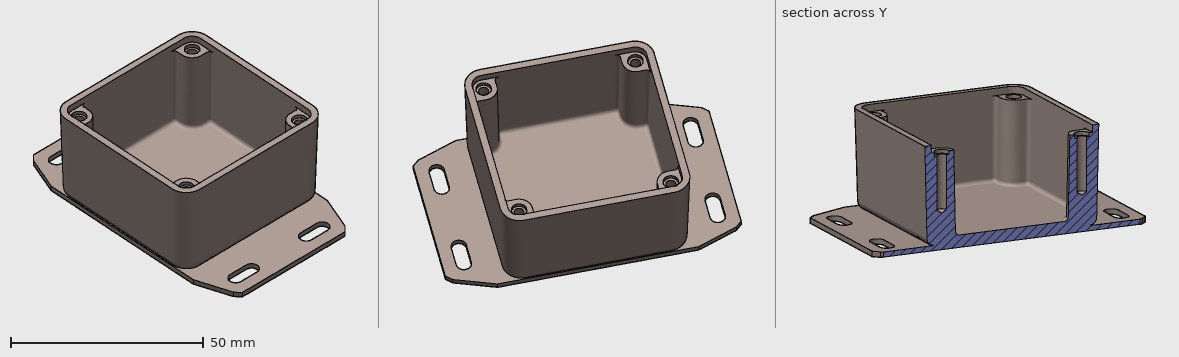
import cadquery as cq
import math

plate_length = 79
plate_width = 48.0
plate_thickness = 1.5
plate_shoulder_x = 26.85
plate_taper_end = (37.8, 20.0)
plate_end_half_width = 18.4
slot_width = 4.0
slot_length = 9.7
slot_x = 33.9
slot_y = 12.6

total_height = 28.5
box_size = 50.5
box_corner_radius = 5.1
outer_draft = 1.3
outer_base_fillet = 2.0
wall_thickness = 2.0
floor_thickness = 2.0
cavity_corner_radius = 3.0
inner_draft = 1.4
floor_fillet = 1.0

post_drop = 2.0
post_radius = 3.55
post_draft = 1.2
post_blend_radius = 1.0
screw_hole_diameter = 2.6
screw_hole_depth = 15.8
counterbore_diameter = 4.0
counterbore_depth = 1.0
drill_point_angle = 118

corner_signs = [(-1, -1), (-1, 1), (1, -1), (1, 1)]
box_height = total_height - plate_thickness
floor_z = plate_thickness + floor_thickness
cavity_size = box_size - 2 * wall_thickness
post_offset = cavity_size / 2 - cavity_corner_radius
post_top_z = total_height - post_drop


def drafted_block(size, corner_radius, height, draft):
    """Rounded square block hanging from the rim, narrowing downwards with a constant corner radius."""
    base_size = size - 2 * height * math.tan(math.radians(draft))
    rim_outline = cq.Sketch().rect(size, size).vertices().fillet(corner_radius)
    base_outline = cq.Sketch().rect(base_size, base_size).vertices().fillet(corner_radius)
    return (
        cq.Workplane("XY", origin=(0, 0, total_height))
        .placeSketch(rim_outline, base_outline.moved(cq.Location(cq.Vector(0, 0, -height))))
        .loft(ruled=True)
    )


def mounting_plate():
    taper_x, taper_y = plate_taper_end
    quarter = [
        (plate_shoulder_x, plate_width / 2),
        (taper_x, taper_y),
        (plate_length / 2, plate_end_half_width),
    ]
    right_half = quarter + [(x, -y) for x, y in reversed(quarter)]
    left_half = [(-x, -y) for x, y in right_half]
    slot_centers = [(sx * slot_x, sy * slot_y) for sx, sy in corner_signs]
    return (
        cq.Workplane("XY")
        .polyline(right_half + left_half)
        .close()
        .extrude(plate_thickness)
        .faces(">Z")
        .workplane(origin=(0, 0, plate_thickness))
        .pushPoints(slot_centers)
        .slot2D(slot_length, slot_width, 90)
        .cutThruAll()
    )


def corner_post(sign_x, sign_y):
    """Drafted post rounded about the screw axis, reaching well past the cavity walls."""
    outer_reach = cavity_corner_radius + 2 * post_radius
    side = post_radius + outer_reach
    center = post_offset + (outer_reach - post_radius) / 2
    return (
        cq.Workplane("XY", origin=(sign_x * center, sign_y * center, post_top_z))
        .sketch()
        .rect(side, side)
        .vertices()
        .fillet(post_radius)
        .finalize()
        .extrude(floor_z - post_top_z, taper=-post_draft)
    )


def cavity():
    """Inner space of the box, with the posts left standing and blended into walls and floor."""
    space = drafted_block(cavity_size, cavity_corner_radius, total_height - floor_z, inner_draft)
    for sign_x, sign_y in corner_signs:
        space = space.cut(corner_post(sign_x, sign_y))

    half_post = (post_top_z - floor_z) / 2
    wall_mid = cavity_size / 2 - (post_drop + half_post) * math.tan(math.radians(inner_draft))
    side_mid = post_offset - post_radius - half_post * math.tan(math.radians(post_draft))
    blend_edges = []
    for sign_x, sign_y in corner_signs:
        for x, y in [(wall_mid, side_mid), (side_mid, wall_mid)]:
            midpoint = (sign_x * x, sign_y * y, floor_z + half_post)
            blend_edges += space.edges(cq.selectors.NearestToPointSelector(midpoint)).vals()
    space = space.newObject(blend_edges).fillet(post_blend_radius)
    return space.faces("<Z").edges().fillet(floor_fillet)


def screw_hole():
    """Counterbored blind hole with a drill point, as a solid on the Z axis."""
    hole_radius = screw_hole_diameter / 2
    bore_radius = counterbore_diameter / 2
    point_depth = hole_radius / math.tan(math.radians(drill_point_angle / 2))
    return (
        cq.Workplane("XZ")
        .moveTo(0, post_top_z)
        .lineTo(bore_radius, post_top_z)
        .lineTo(bore_radius, post_top_z - counterbore_depth)
        .lineTo(hole_radius, post_top_z - counterbore_depth)
        .lineTo(hole_radius, post_top_z - screw_hole_depth)
        .lineTo(0, post_top_z - screw_hole_depth - point_depth)
        .close()
        .revolve(360, (0, 0, 0), (0, 1, 0))
    )


box = drafted_block(box_size, box_corner_radius, box_height, outer_draft)
box = box.faces("<Z").edges().fillet(outer_base_fillet)
box = box.cut(cavity())
for hole_sign_x, hole_sign_y in corner_signs:
    box = box.cut(screw_hole().translate((hole_sign_x * post_offset, hole_sign_y * post_offset, 0)))

result = mounting_plate().union(box)